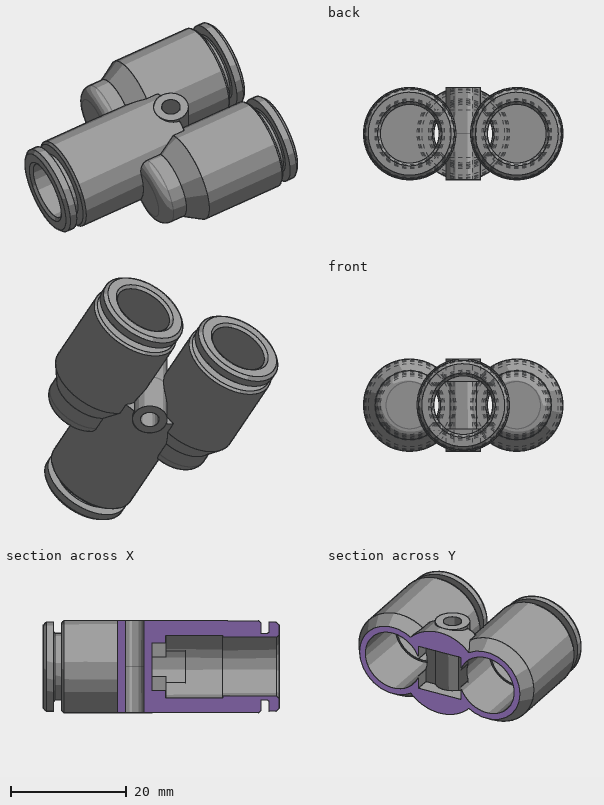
import cadquery as cq
import math

length = 40.9
width = 34.5
body_diameter = 16.0
body_radius = body_diameter / 2
front_y = -length / 2
back_y = length / 2
leg_x = (width - body_diameter) / 2

collar_radius = 15.5 / 2
collar_length = 1.85
collar_chamfer = 0.57
neck_radius = 11.6 / 2
neck_flare = 0.25
body_start = 3.2
body_chamfer = 0.4

mouth_bore_radius = 10.15 / 2
mouth_chamfer = 0.5
sleeve_depth = 9.8
inner_bore_radius = 10.7 / 2
leg_bore_depth = 24.62
stem_bore_depth = 19.65

taper_start = 18.08
taper_end = 21.47
leg_end = 25.95
tail_radius = 5.97
tail_fillet = 1.9

eye_diameter = 6.0
eye_radius = eye_diameter / 2
eye_hole_diameter = 3.2
eye_y = 4.6
stem_length = eye_y - front_y
chamber_width = 8.35
chamber_height = 8.2
eye_exposed_width = 4.6


def port_outline(sketch):
    """Draw the collar, neck and body chamfer from the mouth inward."""
    return (
        sketch.lineTo(collar_radius - collar_chamfer, 0)
        .lineTo(collar_radius, collar_chamfer)
        .lineTo(collar_radius, collar_length)
        .lineTo(neck_radius + neck_flare, collar_length)
        .lineTo(neck_radius, collar_length + neck_flare)
        .lineTo(neck_radius, body_start)
        .lineTo(body_radius - body_chamfer, body_start)
        .lineTo(body_radius, body_start + body_chamfer)
    )


def revolve_about_y(sketch):
    return sketch.close().revolve(360, (0, 0, 0), (0, 1, 0))


def place_leg(solid, side):
    """Turn a shape so its mouth faces +Y and move it to one leg axis."""
    return solid.rotate((0, 0, 0), (0, 0, 1), 180).translate((side * leg_x, back_y, 0))


def place_stem(solid):
    return solid.translate((0, front_y, 0))


def make_stem():
    outline = port_outline(cq.Workplane("XY"))
    outline = outline.lineTo(body_radius, stem_length).lineTo(0, stem_length)
    return revolve_about_y(outline)


def make_leg():
    fillet_centre_radius = tail_radius - tail_fillet
    fillet_start = leg_end - tail_fillet
    fillet_reach = tail_fillet * math.sqrt(0.5)
    outline = (
        port_outline(cq.Workplane("XY"))
        .lineTo(body_radius, taper_start)
        .lineTo(tail_radius, taper_end)
        .lineTo(tail_radius, fillet_start)
        .threePointArc(
            (fillet_centre_radius + fillet_reach, fillet_start + fillet_reach),
            (fillet_centre_radius, leg_end),
        )
        .lineTo(0, leg_end)
    )
    return revolve_about_y(outline)


def make_bore(depth):
    """Chamfered mouth bore that widens inside the body."""
    outline = (
        cq.Workplane("XY")
        .lineTo(mouth_bore_radius + mouth_chamfer, 0)
        .lineTo(mouth_bore_radius, mouth_chamfer)
        .lineTo(mouth_bore_radius, sleeve_depth)
        .lineTo(inner_bore_radius, sleeve_depth)
        .lineTo(inner_bore_radius, depth)
        .lineTo(0, depth)
    )
    return revolve_about_y(outline)


def eye_cylinder(diameter):
    """Vertical cylinder on the eye axis, as tall as the body."""
    return (
        cq.Workplane("XY")
        .center(0, eye_y)
        .circle(diameter / 2)
        .extrude(body_radius, both=True)
    )


def make_chamber():
    """Box beyond the stem bore, with its back wall meeting the eye."""
    chamber_front = front_y + stem_bore_depth
    chamber_back = eye_y - math.sqrt(eye_radius**2 - (eye_exposed_width / 2) ** 2)
    chamber_depth = chamber_back - chamber_front
    return cq.Workplane("XY").box(chamber_width, chamber_depth, chamber_height).translate(
        (0, (chamber_front + chamber_back) / 2, 0)
    )


result = place_stem(make_stem())
for side in (-1, 1):
    result = result.union(place_leg(make_leg(), side))

result = result.cut(place_stem(make_bore(stem_bore_depth)))
result = result.cut(make_chamber())
for side in (-1, 1):
    result = result.cut(place_leg(make_bore(leg_bore_depth), side))

result = result.union(eye_cylinder(eye_diameter))
result = result.cut(eye_cylinder(eye_hole_diameter))